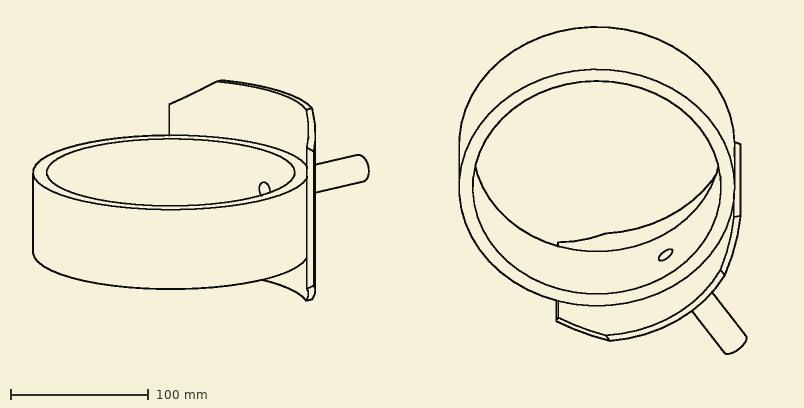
import cadquery as cq
import math

ring_outer_radius = 100.0
ring_wall = 10.0
ring_height = 60.0

plate_thickness = 5.0
plate_height = 144.0
plate_half_angle = math.radians(50.0)
plate_flat_half_width = 50.0
plate_end_height = 101.0

sleeve_diameter = 25.0
sleeve_end_y = 125.0
rod_diameter = 20.0
rod_end_y = 181.0

bore_diameter = 12.0

ring_inner_radius = ring_outer_radius - ring_wall
plate_outer_radius = ring_outer_radius + plate_thickness


def make_ring():
    return (
        cq.Workplane("XY")
        .circle(ring_outer_radius)
        .circle(ring_inner_radius)
        .extrude(ring_height / 2, both=True)
    )


def arc_point(radius, angle):
    """Point at an angle measured from +Y towards +X."""
    return (radius * math.sin(angle), radius * math.cos(angle))


def make_plate():
    """Arc-shaped plate with radial ends and its four corners cut off along Y."""
    arc_plate = (
        cq.Workplane("XY")
        .moveTo(*arc_point(ring_outer_radius, -plate_half_angle))
        .threePointArc((0, ring_outer_radius), arc_point(ring_outer_radius, plate_half_angle))
        .lineTo(*arc_point(plate_outer_radius, plate_half_angle))
        .threePointArc((0, plate_outer_radius), arc_point(plate_outer_radius, -plate_half_angle))
        .close()
        .extrude(plate_height / 2, both=True)
    )
    half_width = plate_outer_radius * math.sin(plate_half_angle)
    half_height = plate_height / 2
    half_end = plate_end_height / 2
    octagon = [
        (-plate_flat_half_width, half_height),
        (plate_flat_half_width, half_height),
        (half_width, half_end),
        (half_width, -half_end),
        (plate_flat_half_width, -half_height),
        (-plate_flat_half_width, -half_height),
        (-half_width, -half_end),
        (-half_width, half_end),
    ]
    octagon_prism = cq.Workplane("XZ").polyline(octagon).close().extrude(-plate_outer_radius)
    return arc_plate.intersect(octagon_prism)


def cylinder_along_y(diameter, start_y, end_y):
    return (
        cq.Workplane("XZ", origin=(0, start_y, 0))
        .circle(diameter / 2)
        .extrude(start_y - end_y)
    )


sleeve = cylinder_along_y(sleeve_diameter, ring_outer_radius, sleeve_end_y)
rod = cylinder_along_y(rod_diameter, ring_outer_radius, rod_end_y)
bore = cylinder_along_y(bore_diameter, 0, rod_end_y)

result = make_ring().union(make_plate()).union(sleeve).union(rod).cut(bore)